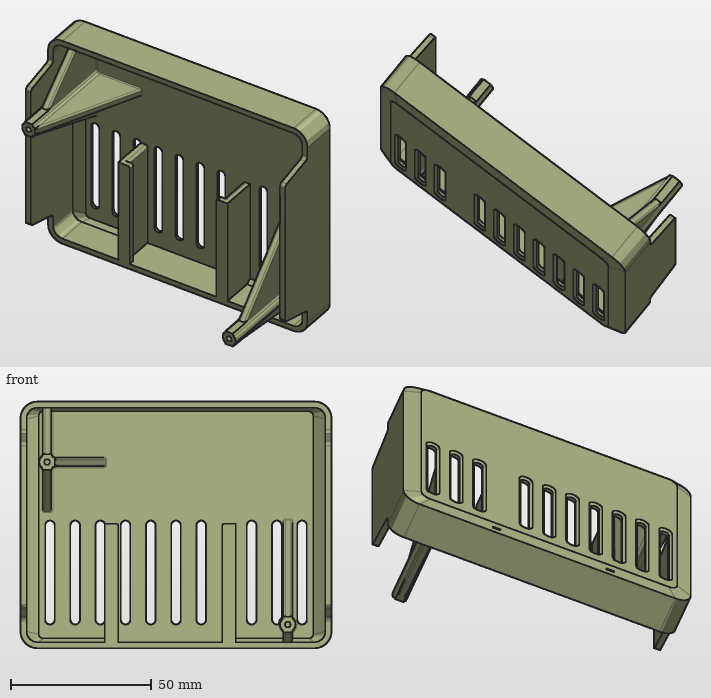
import cadquery as cq
import math


LENGTH = 111.0
HEIGHT = 88.0
RIM_DEPTH = 16.5
WALL = 2.2
CORNER_RADIUS = 6.1

BACK_TAPER_DEPTH = 2.0
BACK_INSET_X = 6.1
BACK_INSET_Z = 2.9
BACK_CORNER_RADIUS = 3.3

FLOOR = 2.0
CAVITY_TAPER_DEPTH = 2.0
CAVITY_INSET_X = 4.3
CAVITY_INSET_Z = 1.3
CAVITY_CORNER_RADIUS = CORNER_RADIUS - WALL
FLOOR_CORNER_RADIUS = 1.5

TAB_DEPTH = 31.0
TAB_ROOT_INSET = 11.1
TAB_TIP_INSET = 14.5
TAB_FILLET = 1.5

SLOT_COUNT = 11
SLOT_PITCH = 9.0
SLOT_WIDTH = 3.3
SLOT_BOTTOM = 8.5
SLOT_TOP = 45.5
SLOT_LAND = 1.1
SLOTS_BEHIND_RIBS = (7,)

RIB_WIDTH = 4.9
RIB_TOP = 44.5
RIB_FILLET = 1.0
RIB_LIP_OVERHANG = 2.0
RIB_LIP_THICKNESS = 2.2
LEFT_RIB_X = -23.0
RIGHT_RIB_X = 18.9

POST_DEPTH = 43.5
POST_DIAMETER = 5.5
PILOT_DIAMETER = 2.0
PILOT_DEPTH = 11.1
UPPER_POST = (-46.0, 22.4)
LOWER_POST = (39.8, -35.5)

GUSSET_WIDTH = 3.1
GUSSET_FILLET = 0.7
POST_BLEND_RADIUS = 1.5
FOOT_FILLET = 0.4

BOTTOM = -HEIGHT / 2
INNER_TOP = HEIGHT / 2 - WALL
INNER_BOTTOM = BOTTOM + WALL
FLOOR_OVERLAP = FLOOR / 2
POST_RADIUS = POST_DIAMETER / 2


def plane_at(depth):
    """Workplane parallel to the back face, looking out of the open front."""
    return cq.Workplane("XZ", origin=(0, -depth, 0))


def rounded_block(length, height, radius, start, end):
    block = plane_at(start).rect(length, height).extrude(end - start)
    return block.edges("|Y").fillet(radius)


def tapered_block(back, front, start, end):
    """Loft between two rounded rectangles given as (length, height, radius)."""
    sections = []
    for (length, height, radius), offset in ((back, 0), (front, end - start)):
        outline = cq.Sketch().rect(length, height).vertices().fillet(radius)
        sections.append(outline.moved(cq.Location(cq.Vector(0, 0, offset))))
    return plane_at(start).placeSketch(*sections).loft()


def make_tray():
    outside = (LENGTH, HEIGHT, CORNER_RADIUS)
    back = (LENGTH - 2 * BACK_INSET_X, HEIGHT - 2 * BACK_INSET_Z, BACK_CORNER_RADIUS)
    inside = (LENGTH - 2 * WALL, HEIGHT - 2 * WALL, CAVITY_CORNER_RADIUS)
    floor = (inside[0] - 2 * CAVITY_INSET_X, inside[1] - 2 * CAVITY_INSET_Z, FLOOR_CORNER_RADIUS)
    cavity_straight = FLOOR + CAVITY_TAPER_DEPTH

    body = tapered_block(back, outside, 0, BACK_TAPER_DEPTH)
    body = body.union(rounded_block(*outside, BACK_TAPER_DEPTH, RIM_DEPTH))
    body = body.cut(tapered_block(floor, inside, FLOOR, cavity_straight))
    return body.cut(rounded_block(*inside, cavity_straight, RIM_DEPTH))


def make_tab(x_start):
    """Side-wall extension, one wall thick, starting at x_start."""
    root = HEIGHT / 2 - TAB_ROOT_INSET
    tip = HEIGHT / 2 - TAB_TIP_INSET
    shoulder = HEIGHT / 2 - CORNER_RADIUS
    base_depth = RIM_DEPTH - WALL
    outline = [
        (-base_depth, -shoulder),
        (-RIM_DEPTH, -shoulder),
        (-RIM_DEPTH, -root),
        (-TAB_DEPTH, -tip),
        (-TAB_DEPTH, tip),
        (-RIM_DEPTH, root),
        (-RIM_DEPTH, shoulder),
        (-base_depth, shoulder),
    ]
    tab = cq.Workplane("YZ", origin=(x_start, 0, 0)).polyline(outline).close().extrude(WALL)
    rounded = cq.selectors.BoxSelector(
        (x_start - WALL, -TAB_DEPTH - WALL, -root - WALL),
        (x_start + 2 * WALL, -RIM_DEPTH + WALL / 2, root + WALL),
    )
    return tab.edges("|X").edges(rounded).fillet(TAB_FILLET)


def make_slots():
    """Vertical slots whose edges are chamfered at the back face."""
    centre_z = BOTTOM + (SLOT_BOTTOM + SLOT_TOP) / 2
    columns = [column for column in range(SLOT_COUNT) if column not in SLOTS_BEHIND_RIBS]
    places = [((column - (SLOT_COUNT - 1) / 2) * SLOT_PITCH, centre_z) for column in columns]
    flare = FLOOR - SLOT_LAND
    length = SLOT_TOP - SLOT_BOTTOM
    slots = plane_at(0).pushPoints(places).slot2D(length, SLOT_WIDTH, 90).extrude(FLOOR)
    flares = (
        plane_at(0)
        .pushPoints(places)
        .slot2D(length + 2 * flare, SLOT_WIDTH + 2 * flare, 90)
        .extrude(flare, taper=45)
    )
    return slots.union(flares)


def make_rib(x, side):
    """Guide rib flush with the rim; its lip overhangs toward side (+1 is +X)."""
    base = WALL / 2
    height = RIB_TOP - base
    centre_z = BOTTOM + base + height / 2
    rounded_edge = ">X" if side > 0 else "<X"

    def bar(centre_x, width, start):
        block = plane_at(start).center(centre_x, centre_z).rect(width, height).extrude(RIM_DEPTH - start)
        return block.faces(">Z").edges(rounded_edge).fillet(RIB_FILLET)

    web = bar(x - side * RIB_LIP_OVERHANG / 2, RIB_WIDTH - RIB_LIP_OVERHANG, FLOOR_OVERLAP)
    lip = bar(x, RIB_WIDTH, RIM_DEPTH - RIB_LIP_THICKNESS)
    return web.union(lip)


def make_rib_bay():
    """Clears the sloping cavity edge between the two rib webs."""
    left = LEFT_RIB_X + RIB_WIDTH / 2 - RIB_LIP_OVERHANG
    right = RIGHT_RIB_X - RIB_WIDTH / 2 + RIB_LIP_OVERHANG
    return (
        plane_at(FLOOR)
        .center((left + right) / 2, INNER_BOTTOM + CAVITY_INSET_Z / 2)
        .rect(right - left, CAVITY_INSET_Z)
        .extrude(CAVITY_TAPER_DEPTH)
    )


def make_blend():
    """Full-depth web blending both sides of a gusset along +X into its post."""
    half_width = GUSSET_WIDTH / 2
    centre_distance = POST_RADIUS + POST_BLEND_RADIUS
    centre_y = half_width + POST_BLEND_RADIUS
    centre_x = math.sqrt(centre_distance**2 - centre_y**2)
    post_x = centre_x * POST_RADIUS / centre_distance
    post_y = centre_y * POST_RADIUS / centre_distance

    to_post = math.atan2(-centre_y, -centre_x)
    middle = (to_post - math.pi / 2) / 2
    middle_x = centre_x + POST_BLEND_RADIUS * math.cos(middle)
    middle_y = centre_y + POST_BLEND_RADIUS * math.sin(middle)
    return (
        plane_at(FLOOR_OVERLAP)
        .lineTo(post_x, post_y)
        .threePointArc((middle_x, middle_y), (centre_x, half_width))
        .lineTo(centre_x, -half_width)
        .threePointArc((middle_x, -middle_y), (post_x, -post_y))
        .close()
        .extrude(POST_DEPTH - FLOOR_OVERLAP)
    )


def make_gusset(post, angle, reach, end_depth, start_depth):
    """Gusset sloping from start_depth at the post surface to end_depth at
    distance reach from the post axis; angle turns it from +X toward +Z."""
    outline = [
        (0, -POST_DEPTH),
        (0, -FLOOR_OVERLAP),
        (reach, -FLOOR_OVERLAP),
        (reach, -end_depth),
        (POST_RADIUS, -start_depth),
    ]
    ridge = cq.selectors.ParallelDirSelector(cq.Vector(reach - POST_RADIUS, start_depth - end_depth, 0))
    if start_depth < POST_DEPTH:
        outline.append((POST_RADIUS, -POST_DEPTH))
        middle = cq.Vector(POST_RADIUS, -(start_depth + POST_DEPTH) / 2, 0)
        margin = cq.Vector(GUSSET_FILLET, GUSSET_FILLET, GUSSET_WIDTH)
        ridge += cq.selectors.BoxSelector((middle - margin).toTuple(), (middle + margin).toTuple())

    def plate(width):
        return cq.Workplane("XY").polyline(outline).close().extrude(width / 2, both=True)

    gusset = plate(GUSSET_WIDTH).edges(ridge).edges("not |Z").fillet(GUSSET_FILLET)
    gusset = gusset.union(make_blend().intersect(plate(2 * POST_DIAMETER)))
    gusset = gusset.rotate((0, 0, 0), (0, 1, 0), -angle)
    return gusset.translate((post[0], 0, post[1]))


def make_post(post):
    return plane_at(FLOOR_OVERLAP).center(*post).circle(POST_RADIUS).extrude(POST_DEPTH - FLOOR_OVERLAP)


def make_pilot(post):
    return plane_at(POST_DEPTH - PILOT_DEPTH).center(*post).circle(PILOT_DIAMETER / 2).extrude(PILOT_DEPTH)


def round_foot(body, post):
    """Fillet the floor edges of a post; the fillet follows on along its gussets."""
    x, z = post
    foot_zone = cq.selectors.BoxSelector(
        (x - POST_DIAMETER, -FLOOR - FOOT_FILLET, z - POST_RADIUS),
        (x + POST_DIAMETER, -FLOOR + FOOT_FILLET, z + POST_RADIUS),
    )
    return body.edges(foot_zone).fillet(FOOT_FILLET)


RIGHT, UP, DOWN = 0, 90, -90
GUSSETS = [
    (UPPER_POST, RIGHT, 20.9, FLOOR, POST_DEPTH),
    (UPPER_POST, DOWN, 17.6, FLOOR, POST_DEPTH),
    (UPPER_POST, UP, INNER_TOP - UPPER_POST[1], 15.1, 33.1),
    (LOWER_POST, UP, 37.5, FLOOR, 35.4),
    (LOWER_POST, DOWN, LOWER_POST[1] - INNER_BOTTOM, 9.4, POST_DEPTH),
]

result = make_tray()
for gusset in GUSSETS:
    result = result.union(make_gusset(*gusset))
for post in (UPPER_POST, LOWER_POST):
    result = result.union(make_post(post))
for post in (UPPER_POST, LOWER_POST):
    result = round_foot(result, post)
for post in (UPPER_POST, LOWER_POST):
    result = result.cut(make_pilot(post))

result = result.cut(make_slots()).cut(make_rib_bay())
result = result.union(make_rib(LEFT_RIB_X, 1)).union(make_rib(RIGHT_RIB_X, -1))
result = result.union(make_tab(-LENGTH / 2)).union(make_tab(LENGTH / 2 - WALL))